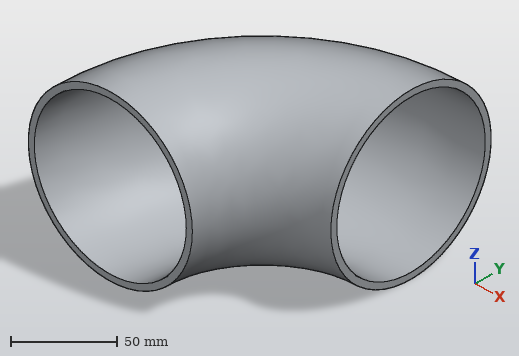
import cadquery as cq

overall_reach = 154.0
outer_diameter = 108.0
wall_thickness = 4.0
bend_angle = 90.0

outer_radius = outer_diameter / 2
inner_radius = outer_radius - wall_thickness
bend_radius = overall_reach - outer_radius

pipe_section = (
    cq.Workplane("XZ")
    .center(-bend_radius, 0)
    .circle(outer_radius)
    .circle(inner_radius)
)

bend_axis_start = (bend_radius, 0)
bend_axis_end = (bend_radius, -1)
result = pipe_section.revolve(bend_angle, bend_axis_start, bend_axis_end)